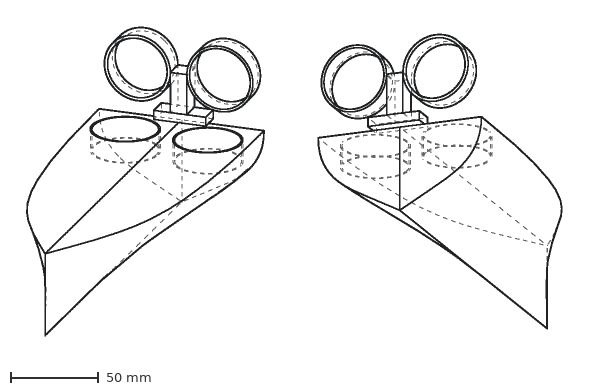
import cadquery as cq


hull_length = 224.0
hull_depth = 50.0
half_beam = 50.0
bow_offset = -1.0
rib_station = 157.5
rib_half_width = 35.7
deck_points_aft = [(48.9, 65.0), (44.6, 115.5)]
deck_points_fore = [(20.6, 191.0)]
transom_points = [(48.0, 13.0), (40.2, 25.6), (22.0, 38.1)]

ring_diameter = 40.0
ring_spacing = 50.0
ring_length = 12.75
starboard_hoop_bore = 36.06
port_hoop_bore = 36.71
deck_ring_bore = 38.0

stand_front = -5.0
base_width = 31.5
base_height = 5.5
base_offset = 0.7
hoop_height = 30.0
weld_overlap = 0.01
post_width = ring_spacing - ring_diameter + 2 * weld_overlap
deck_ring_y = stand_front - ring_diameter / 2

starboard = -1
port = 1


def make_hull_half(side):
    """Solid half of the hull without the ring seat."""

    def at(half_width, station, depth=0.0):
        drift = bow_offset * (station / hull_length) ** 2
        return cq.Vector(drift + side * half_width, -station, -depth)

    transom_top = cq.Vector(0, 0, 0)
    transom_keel = cq.Vector(0, 0, -hull_depth)
    bow_top = cq.Vector(bow_offset, -hull_length, 0)
    bow_keel = cq.Vector(bow_offset, -hull_length, -hull_depth)
    deck_corner = at(half_beam, 0)
    rib_top = at(rib_half_width, rib_station)

    keel = cq.Edge.makeLine(transom_keel, bow_keel)
    stem = cq.Edge.makeLine(bow_keel, bow_top)
    deck_middle = cq.Edge.makeLine(transom_top, bow_top)
    transom_middle = cq.Edge.makeLine(transom_keel, transom_top)
    transom_edge = cq.Edge.makeLine(transom_top, deck_corner)

    sheer_points = [deck_corner]
    sheer_points += [at(*point) for point in deck_points_aft]
    sheer_points += [rib_top]
    sheer_points += [at(*point) for point in deck_points_fore]
    sheer_points += [bow_top]
    bow_run = sheer_points[-1] - sheer_points[-2]
    sheer = cq.Edge.makeSpline(sheer_points, tangents=[cq.Vector(0, -1, 0), bow_run.normalized()])

    section_points = [deck_corner]
    section_points += [at(half_width, 0, depth) for half_width, depth in transom_points]
    section_points += [transom_keel]
    keel_run = section_points[-1] - section_points[-2]
    section = cq.Edge.makeSpline(section_points, tangents=[cq.Vector(0, 0, -1), keel_run.normalized()])

    rib = cq.Edge.makeLine(rib_top, keel.positionAt(rib_station / hull_length))
    faces = [cq.Face.makeNSidedSurface([sheer, section, keel, stem], [rib])]
    for edges in (
        [transom_edge, sheer, deck_middle],
        [transom_edge, section, transom_middle],
        [deck_middle, transom_middle, keel, stem],
    ):
        faces.append(cq.Face.makeFromWires(cq.Wire.assembleEdges(edges)))
    return cq.Workplane(cq.Solid.makeSolid(cq.Shell.makeShell(faces)).fix())


def make_ring(bore):
    """Thin ring standing on Z = 0."""
    return cq.Workplane("XY").circle(ring_diameter / 2).circle(bore / 2).extrude(ring_length)


def make_deck_ring(side):
    """Ring whose upper end is flush with the deck."""
    return make_ring(deck_ring_bore).translate((side * ring_spacing / 2, deck_ring_y, -ring_length))


def make_hoop(side, bore):
    """Upright ring with its axis along Y."""
    hoop = make_ring(bore).rotate((0, 0, 0), (1, 0, 0), -90)
    return hoop.translate((side * ring_spacing / 2, stand_front, hoop_height))


def make_base():
    base = cq.Workplane("XY").box(base_width, ring_length, base_height, centered=(True, False, False))
    return base.translate((base_offset, stand_front, 0))


def make_hoop_post():
    """Post on the base plate with a hoop joined to each side."""
    post_height = hoop_height - base_height
    post = cq.Workplane("XY").box(post_width, ring_length, post_height, centered=(True, False, False))
    post = post.translate((0, stand_front, base_height))
    for side, bore in ((starboard, starboard_hoop_bore), (port, port_hoop_bore)):
        post = post.union(make_hoop(side, bore))
    return post


hull_halves = []
deck_rings = []
for side in (starboard, port):
    deck_ring = make_deck_ring(side)
    deck_rings.append(deck_ring.val())
    seated_half = make_hull_half(side).cut(deck_ring)
    hull_halves += seated_half.solids().vals()

base = make_base()
hoop_post = make_hoop_post()

result = cq.Compound.makeCompound([*hull_halves, *deck_rings, base.val(), *hoop_post.solids().vals()])